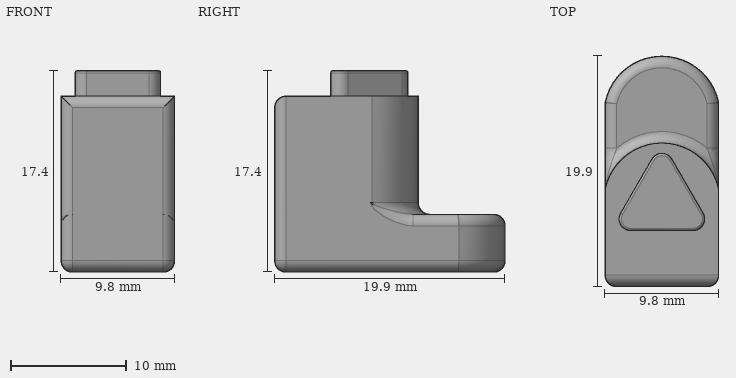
import cadquery as cq
import math

width = 9.8
round_radius = 5.0
foot_length = 19.9
foot_height = 5.0
column_length = 12.4
column_height = 15.2
edge_radius = 1.0
total_height = 17.4

key_side = 8.85
key_corner_radius = 1.0
key_edge_radius = 0.2
key_height = total_height - column_height
key_center_y = column_length - round_radius

half_width = width / 2
arc_depth = round_radius - math.sqrt(round_radius**2 - half_width**2)

tolerance = 0.01


def arched_block(front_y, back_y, bottom_z, top_z):
    """Block as wide as the part, flat in front, with an arc across its back."""
    shoulder_y = back_y - arc_depth
    return (
        cq.Workplane("XY", origin=(0, 0, bottom_z))
        .moveTo(-half_width, front_y)
        .lineTo(half_width, front_y)
        .lineTo(half_width, shoulder_y)
        .threePointArc((0, back_y), (-half_width, shoulder_y))
        .close()
        .extrude(top_z - bottom_z)
    )


def edges_at_foot_top(body):
    """Edges lying in the plane of the foot's top face."""
    slab = cq.selectors.BoxSelector(
        (-width, 0, foot_height - tolerance),
        (width, 2 * foot_length, foot_height + tolerance),
    )
    return body.edges(slab)


def make_body():
    """Foot and column in one piece, with the step and the outer edges rounded."""
    foot = arched_block(0, foot_length, 0, foot_height)
    column = arched_block(0, column_length, 0, column_height)
    body = foot.union(column)

    step_edge = edges_at_foot_top(body).edges("%CIRCLE").edges("<Y")
    body = step_edge.fillet(edge_radius)

    bottom_edges = body.faces("<Z").edges()
    front_edges = body.faces("<Y").edges("|Z or >Z")
    body = bottom_edges.add(front_edges).fillet(edge_radius)

    foot_rim = edges_at_foot_top(body).edges("|Y or >Y")
    body = foot_rim.fillet(edge_radius)

    shoulders = arched_block(edge_radius, column_length, foot_height + edge_radius, column_height)
    return body.union(shoulders)


def make_key():
    """Triangular key with rounded corners, one corner pointing to the back."""
    circumscribed_diameter = 2 * key_side / math.sqrt(3)
    return (
        cq.Workplane("XY", origin=(0, key_center_y, column_height))
        .transformed(rotate=(0, 0, 90))
        .polygon(3, circumscribed_diameter)
        .extrude(key_height)
        .edges("|Z")
        .fillet(key_corner_radius)
        .faces(">Z")
        .edges()
        .fillet(key_edge_radius)
    )


result = make_body().union(make_key())